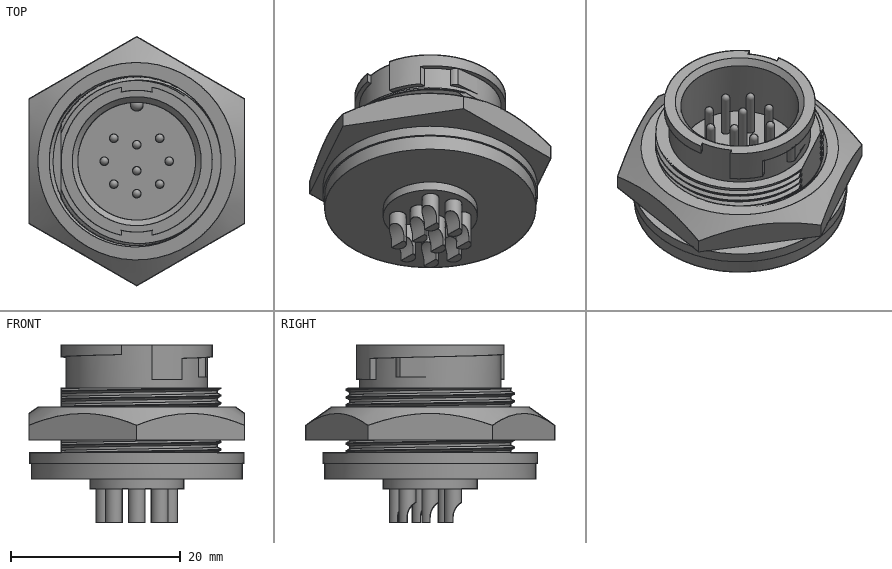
import cadquery as cq
import math


FLANGE_R = 12.63
FLANGE_T = 1.26
GASKET_R = 12.43
GASKET_T = 1.86
FLANGE_BOTTOM = -(FLANGE_T + GASKET_T)
BOSS_R = 5.54
BOSS_T = 1.13
BOSS_BOTTOM = FLANGE_BOTTOM - BOSS_T

THREAD_CORE_R = 9.5
THREAD_CREST_R = 9.94
THREAD_TOP = 7.6
THREAD_PITCH = 25.4 / 28
THREAD_BASE_W = 0.58
THREAD_CREST_W = 0.1
THREAD_PHASE_Z = 0.38
FLAT_X = -8.9

OVERALL_HEIGHT = 20.93
BARREL_R = 8.345
BARREL_TOP = 12.7
BORE_R = 6.93
BORE_FLOOR = 4.75
BORE_CHAMFER = 0.66

RIM_R = 8.89
RIM_GAP_HALF_W = 1.81
STOP_OUTER_X = 5.34
STOP_BOTTOM = 8.63
RAMP_LOW_Z = 11.1
RAMP_HIGH_Z = 11.55
RAMP_START = -math.degrees(math.acos(STOP_OUTER_X / RIM_R))
RAMP_END = math.degrees(math.acos(RIM_GAP_HALF_W / RIM_R))

DETENT_BOTTOM = 8.92
DETENT_START = -4.0
DETENT_NOSE_Y = -3.57
DETENT_TIP_X = 7.28
DETENT_TIP_Y = -4.06

PIN_R = 0.5
PIN_TOP = 10.57
PIN_CIRCLE_R = 3.82
PIN_CIRCLE_PLACES = 8
KEY_PLACE = 2
INNER_PIN_YS = (1.94, -1.13)
TAIL_R = 1.0
TAIL_BOTTOM = BARREL_TOP - OVERALL_HEIGHT
CUP_TOP = -5.85
CUP_ARC_R = 2.0

KEY_R = 0.75
KEY_Y = 6.65
KEY_TOP = 11.55

NUT_FLATS = 25.4
NUT_BOTTOM = 1.48
NUT_TOP = 5.39
NUT_TOP_R = 11.62
NUT_CHAMFER_ANGLE = 35.5
NUT_BORE_R = 9.85
NUT_GROOVE_R = 10.3
NUT_GROOVE_W = 0.8
NUT_ROOT_W = 0.06

EMBED = 0.1


def disc(radius, bottom, top):
    return cq.Workplane("XY").workplane(offset=bottom).circle(radius).extrude(top - bottom)


def box(x0, x1, y0, y1, z0, z1):
    return cq.Workplane("XY").box(x1 - x0, y1 - y0, z1 - z0, centered=False).translate((x0, y0, z0))


def half_turn(shape):
    return shape.rotate((0, 0, 0), (0, 0, 1), 180)


def helical_sweep(profile_points, radius, pitch, start_z, height):
    """Sweep an (x, z) profile, placed relative to start_z, up a right-hand helix from +X."""
    path = cq.Wire.makeHelix(pitch, height, radius)
    profile = cq.Workplane("XZ").polyline(profile_points).close()
    return profile.sweep(cq.Workplane(path), isFrenet=True).translate((0, 0, start_z))


def thread_profile(base_r, base_w, crest_r, crest_w):
    """Trapezoid with its flanks carried on inwards by EMBED past the base radius."""
    flank = (base_w - crest_w) / 2 / (crest_r - base_r)
    inner_half = base_w / 2 + flank * EMBED
    inner_r = base_r - EMBED
    return [
        (inner_r, -inner_half),
        (crest_r, -crest_w / 2),
        (crest_r, crest_w / 2),
        (inner_r, inner_half),
    ]


def threaded_rod(core_r, base_w, crest_r, crest_w, bottom, top):
    """Rod with the common thread; its crest lies at THREAD_PHASE_Z on the +X side."""
    first_turn = math.floor(bottom / THREAD_PITCH) - 2
    last_turn = math.ceil(top / THREAD_PITCH) + 1
    ridge_start = THREAD_PHASE_Z + first_turn * THREAD_PITCH
    ridge_length = (last_turn - first_turn) * THREAD_PITCH
    profile = thread_profile(core_r, base_w, crest_r, crest_w)
    ridge = helical_sweep(profile, core_r, THREAD_PITCH, ridge_start, ridge_length)
    core = disc(core_r, ridge_start - THREAD_PITCH, ridge_start + ridge_length + THREAD_PITCH)
    return core.union(ridge).intersect(disc(crest_r + EMBED, bottom, top))


def threaded_collar():
    collar = threaded_rod(
        THREAD_CORE_R, THREAD_BASE_W, THREAD_CREST_R, THREAD_CREST_W, -EMBED, THREAD_TOP
    )
    return collar.cut(box(-FLANGE_R, FLAT_X, -FLANGE_R, FLANGE_R, 0, THREAD_TOP))


def bayonet_rim():
    """Ramped rim on the +X side with its stop block on the -Y side."""
    inner_r = BARREL_R - EMBED
    sweep_angle = RAMP_END - RAMP_START
    pitch = (RAMP_HIGH_Z - RAMP_LOW_Z) * 360 / sweep_angle
    profile = [
        (inner_r, 0),
        (RIM_R, 0),
        (RIM_R, BARREL_TOP - RAMP_LOW_Z + EMBED),
        (inner_r, BARREL_TOP - RAMP_LOW_Z + EMBED),
    ]
    ramp = helical_sweep(profile, RIM_R, pitch, RAMP_LOW_Z, RAMP_HIGH_Z - RAMP_LOW_Z)
    ramp = ramp.rotate((0, 0, 0), (0, 0, 1), RAMP_START)
    ramp = ramp.intersect(box(RIM_GAP_HALF_W, RIM_R, -RIM_R, RIM_R, RAMP_LOW_Z, BARREL_TOP))
    ring = disc(RIM_R, STOP_BOTTOM, BARREL_TOP).cut(disc(inner_r, STOP_BOTTOM, BARREL_TOP))
    stop = ring.intersect(box(RIM_GAP_HALF_W, STOP_OUTER_X, -RIM_R, 0, STOP_BOTTOM, BARREL_TOP))
    return ramp.union(stop)


def bayonet_detent():
    """Wedge between the barrel and a plane tangent to it, below the +X rim."""
    angle = math.radians(DETENT_START)
    tangent_x = BARREL_R * math.cos(angle)
    tangent_y = BARREL_R * math.sin(angle)
    nose_start_x = tangent_x + (tangent_y - DETENT_NOSE_Y) * math.tan(angle)
    root_x = BORE_R + EMBED
    return (
        cq.Workplane("XY")
        .workplane(offset=DETENT_BOTTOM)
        .moveTo(root_x, DETENT_TIP_Y)
        .lineTo(DETENT_TIP_X, DETENT_TIP_Y)
        .tangentArcPoint((nose_start_x, DETENT_NOSE_Y), relative=False)
        .lineTo(tangent_x, tangent_y)
        .lineTo(root_x, tangent_y)
        .close()
        .extrude(RAMP_HIGH_Z - DETENT_BOTTOM)
    )


def bore():
    hole = disc(BORE_R, BORE_FLOOR, BARREL_TOP)
    chamfer = cq.Solid.makeCone(
        BORE_R, BORE_R + BORE_CHAMFER, BORE_CHAMFER, cq.Vector(0, 0, BARREL_TOP - BORE_CHAMFER)
    )
    return hole.union(cq.Workplane(chamfer))


def domed_rod(radius, top):
    """Round rod standing on the bore floor, ending in a hemisphere."""
    dome_z = top - radius
    dome = cq.Workplane("XY").sphere(radius).translate((0, 0, dome_z))
    return disc(radius, BORE_FLOOR - EMBED, dome_z).union(dome)


def solder_tail():
    """Rear end of a contact: its +Y half is cut away, with an arc running out at the top."""
    tail = disc(TAIL_R, TAIL_BOTTOM, BOSS_BOTTOM + EMBED)
    arc_center_z = CUP_TOP - math.sqrt(CUP_ARC_R**2 - (CUP_ARC_R - TAIL_R) ** 2)
    arc_mid_y = TAIL_R / 2
    arc_mid_z = arc_center_z + math.sqrt(CUP_ARC_R**2 - (CUP_ARC_R - arc_mid_y) ** 2)
    cup = (
        cq.Workplane("YZ")
        .moveTo(0, TAIL_BOTTOM)
        .lineTo(0, arc_center_z)
        .threePointArc((arc_mid_y, arc_mid_z), (TAIL_R, CUP_TOP))
        .lineTo(TAIL_R, TAIL_BOTTOM)
        .close()
        .extrude(TAIL_R, both=True)
    )
    return tail.cut(cup)


def contact_positions():
    """The places of the pin circle, the one at the key left out, and two inside it."""
    step = 2 * math.pi / PIN_CIRCLE_PLACES
    angles = [step * i for i in range(PIN_CIRCLE_PLACES) if i != KEY_PLACE]
    circle = [(PIN_CIRCLE_R * math.cos(a), PIN_CIRCLE_R * math.sin(a)) for a in angles]
    return circle + [(0, y) for y in INNER_PIN_YS]


def build_connector():
    body = disc(FLANGE_R, -FLANGE_T, 0)
    body = body.union(disc(GASKET_R, FLANGE_BOTTOM, -FLANGE_T))
    body = body.union(disc(BOSS_R, BOSS_BOTTOM, FLANGE_BOTTOM))
    body = body.union(threaded_collar())
    body = body.union(disc(BARREL_R, THREAD_TOP - EMBED, BARREL_TOP))
    for feature in (bayonet_detent(), bayonet_rim()):
        body = body.union(feature).union(half_turn(feature))
    body = body.cut(bore())
    body = body.union(domed_rod(KEY_R, KEY_TOP).translate((0, KEY_Y, 0)))
    for x, y in contact_positions():
        body = body.union(domed_rod(PIN_R, PIN_TOP).translate((x, y, 0)))
        body = body.union(solder_tail().translate((x, y, 0)))
    return body


def build_nut():
    height = NUT_TOP - NUT_BOTTOM
    corner_r = NUT_FLATS / math.sqrt(3)
    blank = (
        cq.Workplane("XY")
        .workplane(offset=NUT_BOTTOM)
        .polygon(6, 2 * corner_r)
        .extrude(height)
        .rotate((0, 0, 0), (0, 0, 1), 30)
    )
    cone_base_r = NUT_TOP_R + height / math.tan(math.radians(NUT_CHAMFER_ANGLE))
    cone = cq.Solid.makeCone(cone_base_r, NUT_TOP_R, height, cq.Vector(0, 0, NUT_BOTTOM))
    blank = blank.intersect(cq.Workplane(cone))
    threaded_hole = threaded_rod(
        NUT_BORE_R, NUT_GROOVE_W, NUT_GROOVE_R, NUT_ROOT_W, NUT_BOTTOM, NUT_TOP
    )
    return blank.cut(threaded_hole)


connector = build_connector()
nut = build_nut()

result = cq.Compound.makeCompound([connector.solids().val(), nut.solids().val()])